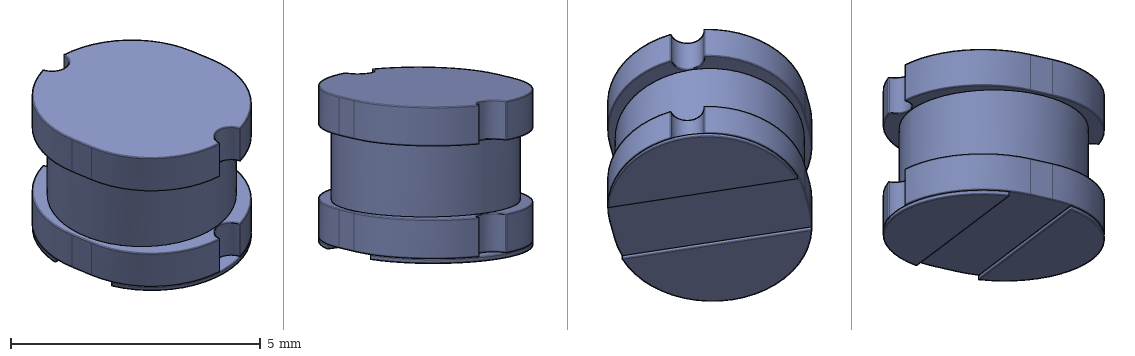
import cadquery as cq

length = 4.5
width = 4.0

terminal_height = 0.1
flange_height = 0.8
winding_height = 1.5
winding_diameter = 3.8

notch_radius = 0.338

terminal_gap = 1.4

edge_radius = 0.02

lower_flange_z = terminal_height
winding_z = lower_flange_z + flange_height
upper_flange_z = winding_z + winding_height


def stadium(z, height):
    """Upright stadium-shaped plate with its underside at z."""
    return cq.Workplane("XY").workplane(offset=z).slot2D(length, width).extrude(height)


def make_flange(z):
    """Stadium plate with a half-round notch at each end and every edge rounded."""
    tips = [(-length / 2, 0), (length / 2, 0)]
    notches = (
        cq.Workplane("XY")
        .workplane(offset=z)
        .pushPoints(tips)
        .circle(notch_radius)
        .extrude(flange_height)
    )
    notched = stadium(z, flange_height).cut(notches)

    notch_middle_x = length / 2 - notch_radius / 2
    corners = notched.edges("|Z").filter(lambda edge: abs(edge.Center().x) > notch_middle_x)
    rims = notched.faces("<Z or >Z").edges()
    return rims.add(corners).fillet(edge_radius)


def make_core():
    """Drum core: a round winding seated half-way into the two flanges that close its ends."""
    seat_depth = flange_height / 2
    winding = (
        cq.Workplane("XY")
        .workplane(offset=winding_z - seat_depth)
        .circle(winding_diameter / 2)
        .extrude(winding_height + 2 * seat_depth)
    )
    return winding.union(make_flange(lower_flange_z)).union(make_flange(upper_flange_z))


def make_terminal(side):
    """Thin end segment of the stadium under the lower flange; side is -1 or +1 along X."""
    segment_length = (length - terminal_gap) / 2
    segment_centre = side * (terminal_gap + segment_length) / 2
    end_region = (
        cq.Workplane("XY")
        .center(segment_centre, 0)
        .rect(segment_length, width)
        .extrude(terminal_height)
    )
    return stadium(0, terminal_height).intersect(end_region).edges().fillet(edge_radius)


core = make_core()
terminals = [make_terminal(side) for side in (-1, 1)]

result = cq.Compound.makeCompound([core.val(), *[terminal.val() for terminal in terminals]])